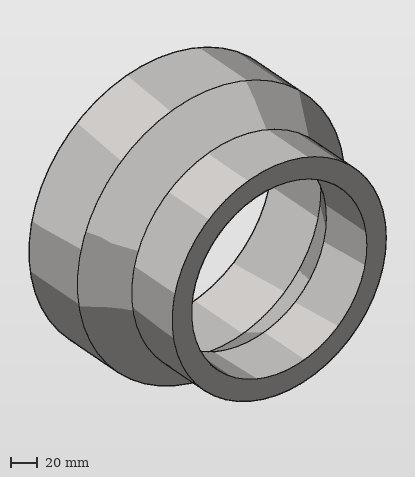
import cadquery as cq

large_outer_diameter = 250.0
large_bore_diameter = 204.5
small_outer_diameter = 200.0
small_bore_diameter = 163.5

large_end_length = 60.0
taper_length = 34.0
small_end_length = 50.0

taper_start = large_end_length
taper_end = taper_start + taper_length
total_length = taper_end + small_end_length


def stepped_taper(large_diameter, small_diameter):
    """Solid of revolution: large cylinder, cone, small cylinder."""
    large_radius = large_diameter / 2
    small_radius = small_diameter / 2
    half_profile = cq.Workplane("XY").polyline([
        (0, 0),
        (0, large_radius),
        (taper_start, large_radius),
        (taper_end, small_radius),
        (total_length, small_radius),
        (total_length, 0),
    ]).close()
    return half_profile.revolve(360, (0, 0, 0), (1, 0, 0))


body = stepped_taper(large_outer_diameter, small_outer_diameter)
bore = stepped_taper(large_bore_diameter, small_bore_diameter)
result = body.cut(bore)